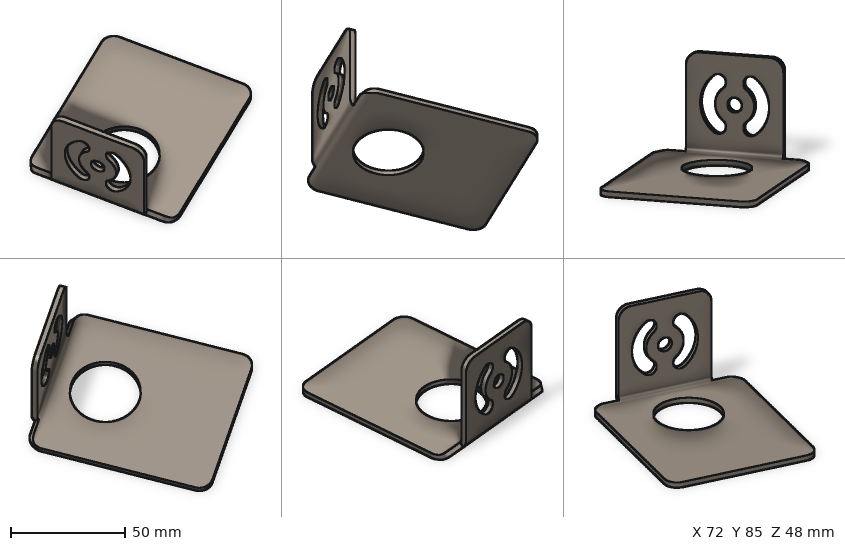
import cadquery as cq
import math

plate_width = 72.0
depth = 85.0
height = 48.0
thickness = 2.6
tab_width = 45.05
corner_radius = 6.0

bend_outer_radius = 5.1
bend_inner_radius = bend_outer_radius - thickness
bend_angle = 90.0
shoulder_angle = 45.0

front_arc_start = 8.5
front_arc_sections = 12

plate_hole_diameter = 31.0
plate_hole_y = 27.0

pivot_z = 25.5
pivot_diameter = 6.6
slot_radius = 12.5
slot_width = 6.9
slot_half_angle = 53.2


def bend_point(radius, angle):
    """(Y, Z) at a radius and angle round the bend, from the plate (0) to the tab (90)."""
    turn = math.radians(angle)
    y = bend_outer_radius - radius * math.sin(turn)
    z = bend_outer_radius - radius * math.cos(turn)
    return y, z


def bend_sector(width, end_angle):
    """Curved strip of sheet running from the plate to end_angle."""
    return (
        cq.Workplane("YZ")
        .moveTo(*bend_point(bend_outer_radius, 0))
        .threePointArc(bend_point(bend_outer_radius, end_angle / 2), bend_point(bend_outer_radius, end_angle))
        .lineTo(*bend_point(bend_inner_radius, end_angle))
        .threePointArc(bend_point(bend_inner_radius, end_angle / 2), bend_point(bend_inner_radius, 0))
        .close()
        .extrude(width / 2, both=True)
    )


flat_run = front_arc_start - bend_outer_radius
arc_angle_at_bend = math.asin(flat_run / corner_radius)


def corner_half_width(arc_angle):
    """Half the plate width at an angle along the front corner arc."""
    return plate_width / 2 - corner_radius * (1 - math.cos(arc_angle))


def make_plate():
    half_width = plate_width / 2
    arc_middle = arc_angle_at_bend / 2
    middle_x = corner_half_width(arc_middle)
    middle_y = front_arc_start - corner_radius * math.sin(arc_middle)
    bend_x = corner_half_width(arc_angle_at_bend)
    return (
        cq.Workplane("XY")
        .moveTo(-half_width, depth)
        .lineTo(-half_width, front_arc_start)
        .threePointArc((-middle_x, middle_y), (-bend_x, bend_outer_radius))
        .lineTo(bend_x, bend_outer_radius)
        .threePointArc((middle_x, middle_y), (half_width, front_arc_start))
        .lineTo(half_width, depth)
        .close()
        .extrude(thickness)
        .edges("|Z and >Y")
        .fillet(corner_radius)
    )


def make_shoulder():
    """Full-width start of the bend, with the corner arcs wrapped round it."""
    near_radius = bend_inner_radius / 2
    far_radius = bend_outer_radius + thickness
    sections = []
    for index in range(front_arc_sections + 1):
        share = index / front_arc_sections
        arc_angle = arc_angle_at_bend + share * (math.pi / 2 - arc_angle_at_bend)
        run_share = (corner_radius * math.sin(arc_angle) - flat_run) / (corner_radius - flat_run)
        turn = shoulder_angle * run_share
        half_width = corner_half_width(arc_angle)
        near_y, near_z = bend_point(near_radius, turn)
        far_y, far_z = bend_point(far_radius, turn)
        sections.append(
            cq.Wire.makePolygon(
                [
                    cq.Vector(-half_width, near_y, near_z),
                    cq.Vector(half_width, near_y, near_z),
                    cq.Vector(half_width, far_y, far_z),
                    cq.Vector(-half_width, far_y, far_z),
                ],
                close=True,
            )
        )
    envelope = cq.Solid.makeLoft(sections)
    return bend_sector(plate_width, shoulder_angle).intersect(cq.Workplane(envelope))


def make_tab():
    upright = (
        cq.Workplane("XY")
        .box(tab_width, thickness, height - bend_outer_radius, centered=(True, False, False))
        .translate((0, 0, bend_outer_radius))
        .edges("|Y and >Z")
        .fillet(corner_radius)
    )
    return upright.union(bend_sector(tab_width, bend_angle))


def curved_slot(side):
    """Cutter for one slot round the pivot; side is +1 or -1 along X."""
    inner = slot_radius - slot_width / 2
    outer = slot_radius + slot_width / 2
    end = math.radians(slot_half_angle)

    def at(radius, angle):
        return side * radius * math.cos(angle), radius * math.sin(angle)

    def cap_tip(direction):
        x, z = at(slot_radius, direction * end)
        reach = slot_width / 2
        return x - side * reach * math.sin(end), z + direction * reach * math.cos(end)

    return (
        cq.Workplane("XZ", origin=(0, 0, pivot_z))
        .moveTo(*at(outer, -end))
        .threePointArc(at(outer, 0), at(outer, end))
        .threePointArc(cap_tip(1), at(inner, end))
        .threePointArc(at(inner, 0), at(inner, -end))
        .threePointArc(cap_tip(-1), at(outer, -end))
        .close()
        .extrude(-thickness)
    )


plate_hole = cq.Workplane("XY").center(0, plate_hole_y).circle(plate_hole_diameter / 2).extrude(thickness)
pivot_hole = cq.Workplane("XZ").center(0, pivot_z).circle(pivot_diameter / 2).extrude(-thickness)

result = make_plate().union(make_shoulder()).union(make_tab())
result = result.cut(plate_hole).cut(pivot_hole)
for side in (-1, 1):
    result = result.cut(curved_slot(side))